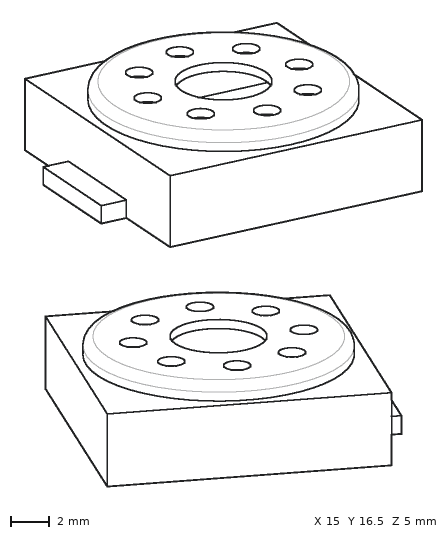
import cadquery as cq

total_length = 16.5
body_side = 15.0
body_height = 4.0
wall = 0.5
floor_thickness = 1.0

tab_width = 5.99
tab_height = 1.0
tab_length = total_length - body_side

cap_diameter = 14.0
cap_height = 1.0
cap_edge_radius = cap_height / 2
top_z = body_height + cap_height

chamber_side = body_side - 2 * wall
chamber_top_z = body_height - wall
cap_bore_diameter = cap_diameter - 2 * wall
cap_bore_top_z = top_z - wall

center_hole_diameter = 5.0
small_hole_diameter = 1.4
small_hole_count = 8
small_hole_circle_radius = 4.5


def square_block(side, bottom_z, block_top_z):
    base = cq.Workplane("XY").workplane(offset=bottom_z)
    return base.rect(side, side).extrude(block_top_z - bottom_z)


def round_block(diameter, bottom_z, block_top_z):
    base = cq.Workplane("XY").workplane(offset=bottom_z)
    return base.circle(diameter / 2).extrude(block_top_z - bottom_z)


def make_tab():
    tab = cq.Workplane("XY").box(tab_width, tab_length, tab_height, centered=(True, True, False))
    return tab.translate((0, -(body_side + tab_length) / 2, 0))


def make_cap():
    cap = round_block(cap_diameter, body_height, top_z)
    return cap.faces(">Z").edges().fillet(cap_edge_radius)


def make_hollow():
    chamber = square_block(chamber_side, floor_thickness, chamber_top_z)
    cap_bore = round_block(cap_bore_diameter, floor_thickness, cap_bore_top_z)
    return chamber.union(cap_bore)


def make_sound_holes():
    center_hole = round_block(center_hole_diameter, floor_thickness, top_z)
    small_holes = (
        cq.Workplane("XY").workplane(offset=floor_thickness)
        .polarArray(small_hole_circle_radius, 0, 360, small_hole_count)
        .circle(small_hole_diameter / 2)
        .extrude(top_z - floor_thickness)
    )
    return center_hole.union(small_holes)


housing = square_block(body_side, 0, body_height).union(make_tab()).union(make_cap())
result = housing.cut(make_hollow()).cut(make_sound_holes())